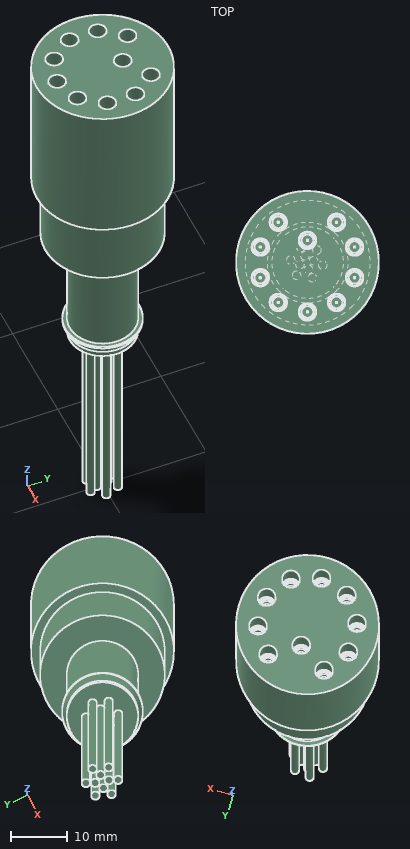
import cadquery as cq
import math

TOTAL_HEIGHT = 108.5
HEAD_LENGTH = 28.7
NECK_LENGTH = 14.2
WIRE_LENGTH = 40.1
HEAD_BOTTOM = TOTAL_HEIGHT - HEAD_LENGTH
NECK_BOTTOM = HEAD_BOTTOM - NECK_LENGTH

HEAD_DIAMETER = 25.4
NECK_DIAMETER = 22.1
STEM_DIAMETER = 12.7

COLLAR_DIAMETER = 14.3
COLLAR_BAND_HEIGHT = 1.1
COLLAR_TAPER_HEIGHT = 1.7
COLLAR_LIP_HEIGHT = 0.4

CONTACT_COUNT = 10
CONTACT_RING_RADIUS = 8.8
KEY_CONTACT_RADIUS = 3.9
KEY_CONTACT_ANGLE = 90.0
SOCKET_STEPS = [
    (3.1, 6.5),
    (2.7, 7.6),
    (2.1, 9.8),
    (0.3, 10.3),
]

WIRE_DIAMETER = 1.5
WIRE_OVERLAP = 1.1
BUNDLE_OFFSET_X = -0.16
BUNDLE_RINGS = [
    (4, 1.25, 15.0),
    (6, 2.87, 51.0),
]


def polar(radius, degrees):
    """X, Y of a point at the given radius and angle from +X."""
    angle = math.radians(degrees)
    return (radius * math.cos(angle), radius * math.sin(angle))


def make_body():
    """Head, neck, stem and collar as one turned solid."""
    head_radius = HEAD_DIAMETER / 2
    neck_radius = NECK_DIAMETER / 2
    stem_radius = STEM_DIAMETER / 2
    collar_radius = COLLAR_DIAMETER / 2
    taper_bottom = WIRE_LENGTH + COLLAR_BAND_HEIGHT
    taper_top = taper_bottom + COLLAR_TAPER_HEIGHT
    collar_top = taper_top + COLLAR_LIP_HEIGHT
    profile = [
        (0, WIRE_LENGTH),
        (stem_radius, WIRE_LENGTH),
        (stem_radius, taper_bottom),
        (collar_radius, taper_top),
        (collar_radius, collar_top),
        (stem_radius, collar_top),
        (stem_radius, NECK_BOTTOM),
        (neck_radius, NECK_BOTTOM),
        (neck_radius, HEAD_BOTTOM),
        (head_radius, HEAD_BOTTOM),
        (head_radius, TOTAL_HEIGHT),
        (0, TOTAL_HEIGHT),
    ]
    return cq.Workplane("XZ").polyline(profile).close().revolve(360, (0, 0), (0, 1))


def contact_positions():
    """Evenly spaced contacts; the one at +Y sits closer to the axis as a key."""
    step = 360 / CONTACT_COUNT
    positions = [polar(KEY_CONTACT_RADIUS, KEY_CONTACT_ANGLE)]
    for index in range(1, CONTACT_COUNT):
        positions.append(polar(CONTACT_RING_RADIUS, KEY_CONTACT_ANGLE + index * step))
    return positions


def make_socket_cutter():
    """Coaxial steps on the part axis, all starting from the mating face."""
    cutter = cq.Workplane("XY")
    for diameter, depth in SOCKET_STEPS:
        step = cq.Workplane("XY", origin=(0, 0, TOTAL_HEIGHT)).circle(diameter / 2).extrude(-depth)
        cutter = cutter.union(step)
    return cutter


def make_wires():
    """Wires hanging below the collar, rooted a little way inside the stem."""
    positions = []
    for count, radius, first_angle in BUNDLE_RINGS:
        for index in range(count):
            positions.append(polar(radius, first_angle + index * 360 / count))
    wires = cq.Workplane("XY").center(BUNDLE_OFFSET_X, 0).pushPoints(positions).circle(WIRE_DIAMETER / 2)
    return wires.extrude(WIRE_LENGTH + WIRE_OVERLAP)


result = make_body().union(make_wires())
socket = make_socket_cutter()
for x, y in contact_positions():
    result = result.cut(socket.translate((x, y, 0)))